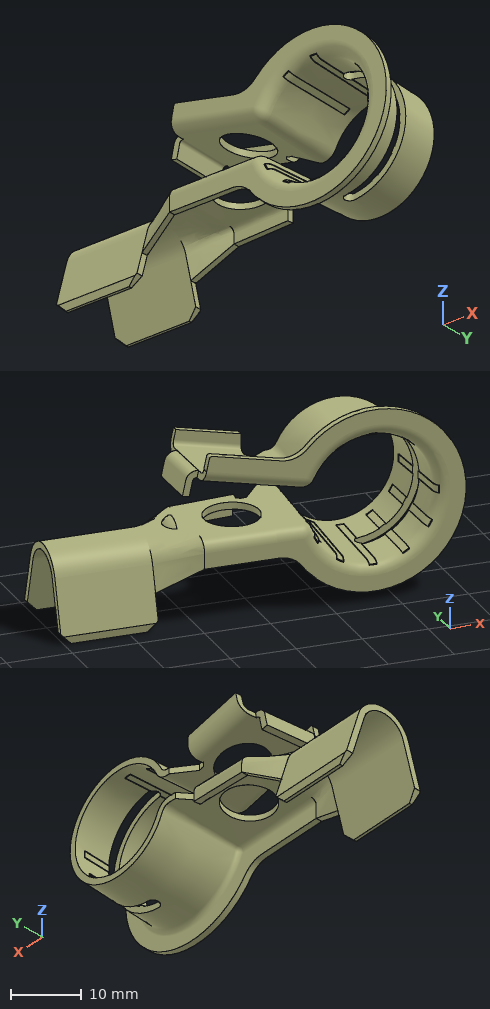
import cadquery as cq
import math

sheet = 1.1
depth = 15.4
height = 29.25
bend = 1.95
taper = 0.05

flange_radius = 13.85
flange_width = 2.4
back_flange_width = 1.6
neck_fillet = 4.3
bend_radius = flange_radius - flange_width

lower_end_x = -25.75
lower_bend_z = -4.3
upper_end = (-25.45, 8.2)
upper_angle = math.radians(12.2)
flange_tip_radius = 0.4

crimp_start_x = -47.2
crimp_end_x = -32.4
crimp_center_y = 7.95
crimp_top_z = -2.5
crimp_bottom_z = flange_radius - height
crimp_radius = 5.0
leg_angle = math.radians(16.5)
crown_angle = math.radians(57)
leg_corner = 1.6
leg_bevel_height = 1.3
leg_bevel_depth = 0.6
transition_leg_z = -10.1

hole_diameter = 8.35
hole_center_y = 7.5
upper_hole_x = -17.45
lower_shift = -1.3
slot_width = 2.0
slot_center_y = 7.65
notch_depth = 3.25
notch_corner = 0.5
notch_flange_x = -14.55
notch_start = -14.85
notch_floor_end = -13.45
notch_mouth_end = -10.7

lip_start_y = 3.0
lip_end_y = 12.2
lip_length = 4.0
lip_bend = 1.65
lip_overlap = 0.3

rib_angles = [-150, -120, -90, -60, -30, 0, 90, 120]
rib_width = 1.15
rib_height = 0.1
rib_start_y = 0.6
rib_end_y = 13.5

bump_face_x = -27.65
bump_radius = 2.55
bump_center_offset = 0.85
bump_center_z = -3.65


def polar(radius, angle, center=(0, 0)):
    return (center[0] + radius * math.cos(angle), center[1] + radius * math.sin(angle))


def section_plane(point, outward):
    """Plane through an XZ point: local x runs outward (XZ direction), local y runs along Y."""
    direction = cq.Vector(outward[0], 0, outward[1])
    return cq.Plane(cq.Vector(point[0], 0, point[1]), direction, direction.cross(cq.Vector(0, 1, 0)))


def front_bend(slope):
    """Angle facing the mouth and bend centre for a wall of the given slope."""
    return math.pi + math.atan(slope), (0, bend)


def wall_end(slope, y):
    """Mouth-side wall point at depth y."""
    facing, center = front_bend(slope)
    tangent = polar(bend, facing, center)
    return (tangent[0] - slope * (y - tangent[1]), y)


def bend_profile(slope):
    """Front bend and plain wall."""
    facing, center = front_bend(slope)
    middle = (facing + 1.5 * math.pi) / 2
    inner = bend - sheet
    back = wall_end(slope, depth)
    return lambda wp: (
        wp.moveTo(0, 0)
        .threePointArc(polar(bend, middle, center), polar(bend, facing, center))
        .lineTo(*back)
        .lineTo(back[0] + sheet * math.hypot(1, slope), depth)
        .lineTo(*polar(inner, facing, center))
        .threePointArc(polar(inner, middle, center), (0, sheet))
        .close())


def channel_profile(slope):
    """Front flange, front bend, wall, back bend and back flange."""
    facing, front = front_bend(slope)
    front_mid = (facing + 1.5 * math.pi) / 2
    back_mid = (facing + 0.5 * math.pi) / 2
    wall_point = wall_end(slope, depth - bend + bend * math.sin(facing))
    back_x = wall_point[0] - bend * math.cos(facing)
    back = (back_x, depth - bend)
    inner = bend - sheet
    return lambda wp: (
        wp.moveTo(flange_width, 0)
        .lineTo(0, 0)
        .threePointArc(polar(bend, front_mid, front), polar(bend, facing, front))
        .lineTo(*polar(bend, facing, back))
        .threePointArc(polar(bend, back_mid, back), (back_x, depth))
        .lineTo(back_x + back_flange_width, depth)
        .lineTo(back_x + back_flange_width, depth - sheet)
        .lineTo(back_x, depth - sheet)
        .threePointArc(polar(inner, back_mid, back), polar(inner, facing, back))
        .lineTo(*polar(inner, facing, front))
        .threePointArc(polar(inner, front_mid, front), (0, sheet))
        .lineTo(flange_width, sheet)
        .close())


def crimp_point(radius, angle, side):
    """Point on the crimp hoop at an angle from its crown (local x runs down)."""
    return (crimp_radius - crimp_top_z - radius * math.cos(angle),
            crimp_center_y + side * radius * math.sin(angle))


def leg_point(radius, z, side):
    """Point at height z on the straight leg tangent to a hoop of the given radius."""
    below_center = crimp_top_z - crimp_radius - z
    half_width = (radius + below_center * math.sin(leg_angle)) / math.cos(leg_angle)
    return (-z, crimp_center_y + side * half_width)


def crimp_profile(leg_end_z):
    """Hoop with splayed legs, edges in the same order as the channel."""
    tangent = math.pi / 2 - leg_angle
    shoulder = (crown_angle + tangent) / 2
    inner = crimp_radius - sheet
    return lambda wp: (
        wp.moveTo(*leg_point(crimp_radius, leg_end_z, -1))
        .lineTo(*crimp_point(crimp_radius, tangent, -1))
        .threePointArc(crimp_point(crimp_radius, shoulder, -1), crimp_point(crimp_radius, crown_angle, -1))
        .threePointArc(crimp_point(crimp_radius, 0, 1), crimp_point(crimp_radius, crown_angle, 1))
        .threePointArc(crimp_point(crimp_radius, shoulder, 1), crimp_point(crimp_radius, tangent, 1))
        .lineTo(*leg_point(crimp_radius, leg_end_z, 1))
        .lineTo(*leg_point(inner, leg_end_z, 1))
        .lineTo(*crimp_point(inner, tangent, 1))
        .threePointArc(crimp_point(inner, shoulder, 1), crimp_point(inner, crown_angle, 1))
        .threePointArc(crimp_point(inner, 0, 1), crimp_point(inner, crown_angle, -1))
        .threePointArc(crimp_point(inner, shoulder, -1), crimp_point(inner, tangent, -1))
        .lineTo(*leg_point(inner, leg_end_z, -1))
        .close())


def loft(start, end):
    """Ruled solid between two (point, outward, profile) stations."""
    wires = [profile(cq.Workplane(section_plane(point, outward))).val()
             for point, outward, profile in (start, end)]
    return cq.Workplane(cq.Solid.makeLoft(wires, True))


down = (0, -1)
upper_along = (math.cos(upper_angle), -math.sin(upper_angle))
upper_outward = (math.sin(upper_angle), math.cos(upper_angle))
lower_end = (lower_end_x, lower_bend_z)
lower_corner = (-math.sqrt(bend_radius**2 - lower_bend_z**2), lower_bend_z)
upper_line = upper_end[0] * upper_outward[0] + upper_end[1] * upper_outward[1]
upper_reach = math.sqrt(bend_radius**2 - upper_line**2)
upper_corner = (upper_line * upper_outward[0] - upper_reach * upper_along[0],
                upper_line * upper_outward[1] - upper_reach * upper_along[1])
ring_start = math.atan2(lower_corner[1], lower_corner[0])
ring_end = math.atan2(upper_corner[1], upper_corner[0])


def neck_points(outward, along, line):
    """Where the concave neck fillet meets an arm edge and the ring outline, with its middle."""
    reach = -math.sqrt((flange_radius + neck_fillet)**2 - (line + neck_fillet)**2)
    center = (outward[0] * (line + neck_fillet) + along[0] * reach,
              outward[1] * (line + neck_fillet) + along[1] * reach)
    on_line = (center[0] - outward[0] * neck_fillet, center[1] - outward[1] * neck_fillet)
    ratio = flange_radius / (flange_radius + neck_fillet)
    on_ring = (center[0] * ratio, center[1] * ratio)
    to_line = math.atan2(-outward[1], -outward[0])
    to_ring = math.atan2(-center[1], -center[0])
    half_turn = math.remainder(to_ring - to_line, 2 * math.pi) / 2
    return on_line, polar(neck_fillet, to_line + half_turn, center), on_ring


def round_upper_tip(body, width, y):
    """Round the free-end corner of an upper arm flange of the given width."""
    corner = (upper_end[0] + width * upper_outward[0], y, upper_end[1] + width * upper_outward[1])
    return body.edges("|Y").edges(cq.selectors.NearestToPointSelector(corner)).fillet(flange_tip_radius)


def flange_plate():
    """Flat front flange around the ring and along both arms."""
    lower = neck_points(down, (1, 0), flange_width - lower_bend_z)
    upper = neck_points(upper_outward, upper_along, upper_line + flange_width)
    tip = (upper_end[0] + upper_outward[0] * flange_width, upper_end[1] + upper_outward[1] * flange_width)
    plate = (
        cq.Workplane("XZ")
        .moveTo(lower_end_x, lower_bend_z - flange_width)
        .lineTo(*lower[0])
        .threePointArc(lower[1], lower[2])
        .threePointArc((flange_radius, 0), upper[2])
        .threePointArc(upper[1], upper[0])
        .lineTo(*tip)
        .lineTo(*upper_end)
        .lineTo(*upper_corner)
        .threePointArc((bend_radius, 0), lower_corner)
        .lineTo(*lower_end)
        .close()
        .extrude(-sheet))
    return round_upper_tip(plate, flange_width, 0)


def revolved_bend(point, outward, axis_x, slope, angle):
    """Front bend and wall swept about an axis parallel to Y."""
    wp = cq.Workplane(section_plane(point, outward))
    return bend_profile(slope)(wp).revolve(math.degrees(angle), (axis_x, 0.6), (axis_x, 0))


def ring():
    return revolved_bend(lower_corner, polar(1, ring_start), -bend_radius, taper, ring_end - ring_start)


def corners():
    """Rounded wall corners where the ring opens into the arms."""
    lower_turn = math.pi / 2 - (ring_start + math.pi)
    lower = revolved_bend(lower_corner, polar(1, ring_start), 0, taper, lower_turn)
    upper_turn = (ring_end - math.pi) + math.pi / 2 + upper_angle
    upper = revolved_bend(upper_corner, upper_outward, 0, taper, upper_turn)
    return lower.union(upper)


def arm(end, corner, outward, end_slope, flange_end_x):
    """Arm from its free end to the ring; its back flange stops at flange_end_x."""
    share = (flange_end_x - end[0]) / (corner[0] - end[0])
    split = (end[0] + share * (corner[0] - end[0]), end[1] + share * (corner[1] - end[1]))
    split_slope = end_slope + share * (taper - end_slope)
    channel = loft((end, outward, channel_profile(end_slope)), (split, outward, channel_profile(split_slope)))
    plain = loft((split, outward, bend_profile(split_slope)), (corner, outward, bend_profile(taper)))
    return channel.union(plain)


def upper_arm():
    """Upper arm with rounded flange corners and a free end square to its sloping wall."""
    body = arm(upper_end, upper_corner, upper_outward, taper, notch_floor_end)
    back_bend_x = wall_end(taper, depth - bend)[0] + bend
    for tip, y in ((flange_width, 0), (back_bend_x + back_flange_width, depth)):
        body = round_upper_tip(body, tip, y)
    plane = cq.Plane((upper_end[0], 0, upper_end[1]), (upper_along[0], 0, upper_along[1]),
                     (upper_outward[0], 0, upper_outward[1]))
    trim = (
        cq.Workplane(plane)
        .polyline([(0, 0), (-bend, depth), (taper * depth, depth)])
        .close()
        .extrude(flange_radius, both=True))
    return body.cut(trim)


def hook_lip():
    """Lip folded from the free end of the upper arm towards the lower arm."""
    def profile(y):
        face = wall_end(taper, y)[0]
        top = face + sheet
        tip = top - lip_length
        diagonal = math.sqrt(0.5)
        inner = lip_bend - sheet
        return lambda wp: (
            wp.moveTo(lip_overlap, top)
            .lineTo(0, top)
            .threePointArc((-lip_bend * diagonal, top - lip_bend * (1 - diagonal)),
                           (-lip_bend, top - lip_bend))
            .lineTo(-lip_bend, tip)
            .lineTo(-inner, tip)
            .lineTo(-inner, top - lip_bend)
            .threePointArc((-inner * diagonal, face - inner * (1 - diagonal)), (0, face))
            .lineTo(lip_overlap, face)
            .close())

    wires = []
    for y in (lip_start_y, lip_end_y):
        origin = (upper_end[0] + taper * y * upper_along[0], y, upper_end[1] + taper * y * upper_along[1])
        plane = cq.Plane(origin, (upper_along[0], 0, upper_along[1]), (0, -1, 0))
        wires.append(profile(y)(cq.Workplane(plane)).val())
    return cq.Workplane(cq.Solid.makeLoft(wires, True))


def crimp():
    """Open cable crimp with clipped and bevelled leg ends."""
    length = crimp_end_x - crimp_start_x
    wp = cq.Workplane(section_plane((crimp_start_x, 0), down))
    body = crimp_profile(crimp_bottom_z)(wp).extrude(length)
    for side in (-1, 1):
        tip = leg_point(crimp_radius, crimp_bottom_z, side)
        bevel = (
            cq.Workplane(section_plane((crimp_start_x, 0), down))
            .polyline([leg_point(crimp_radius, crimp_bottom_z + leg_bevel_height, side),
                       tip, (tip[0], tip[1] - side * leg_bevel_depth)])
            .close()
            .extrude(length))
        body = body.cut(bevel)
    clip = (
        cq.Workplane("XZ")
        .moveTo(crimp_start_x, crimp_top_z)
        .lineTo(crimp_end_x, crimp_top_z)
        .lineTo(crimp_end_x, crimp_bottom_z + leg_corner)
        .lineTo(crimp_end_x - leg_corner, crimp_bottom_z)
        .lineTo(crimp_start_x + leg_corner, crimp_bottom_z)
        .lineTo(crimp_start_x, crimp_bottom_z + leg_corner)
        .close()
        .extrude(-2 * depth))
    return body.intersect(clip.translate((0, -depth / 2, 0)))


def transition():
    """Sheet blending from the crimp hoop to the end of the lower arm."""
    return loft(((crimp_end_x, 0), down, crimp_profile(transition_leg_z)),
                (lower_end, down, channel_profile(0)))


def bump():
    """Half dome on the transition with a flat face towards the ring."""
    center = (bump_face_x + bump_center_offset, crimp_center_y, bump_center_z)
    dome = cq.Workplane().sphere(bump_radius).translate(center)
    base_z = crimp_top_z - sheet / 2
    keep = cq.Workplane().box(bump_radius, 2 * bump_radius, bump_radius, centered=(False, True, False))
    return dome.intersect(keep.translate((bump_face_x - bump_radius, crimp_center_y, base_z)))


def ribs():
    """Thin axial ribs that follow the ring wall and its front bend."""
    facing, center = front_bend(taper)
    radius = bend + rib_height
    start_angle = math.pi + math.asin((bend - rib_start_y) / radius)
    start = polar(radius, start_angle, center)
    tangent = polar(radius, facing, center)
    end = (wall_end(taper, rib_end_y)[0] - rib_height, rib_end_y)
    root = sheet / 2
    bars = cq.Workplane()
    for angle in rib_angles:
        outward = polar(1, math.radians(angle))
        plane = section_plane(polar(bend_radius, math.radians(angle)), outward)
        bars = bars.union(
            cq.Workplane(plane)
            .moveTo(*start)
            .threePointArc(polar(radius, (start_angle + facing) / 2, center), tangent)
            .lineTo(*end)
            .lineTo(end[0] + root, end[1])
            .lineTo(tangent[0] + root, tangent[1])
            .lineTo(start[0] + root, start[1])
            .close()
            .extrude(rib_width / 2, both=True))
    return bars


def arm_holes():
    lower = (
        cq.Workplane("XY").center(upper_hole_x + lower_shift, hole_center_y)
        .circle(hole_diameter / 2).extrude(-depth))
    upper_z = (upper_line - bend - upper_hole_x * upper_outward[0]) / upper_outward[1]
    plane = cq.Plane((upper_hole_x, hole_center_y, upper_z), (upper_along[0], 0, upper_along[1]),
                     (upper_outward[0], 0, upper_outward[1]))
    upper = cq.Workplane(plane).circle(hole_diameter / 2).extrude(bend, both=True)
    return lower.union(upper)


def ring_slot():
    """Slot around the half of the ring that faces away from the arms."""
    end_radius = slot_width / 2
    length = flange_radius + end_radius
    return (
        cq.Workplane("XY")
        .center(length / 2, slot_center_y)
        .slot2D(length, slot_width)
        .extrude(flange_radius, both=True))


def notches():
    """Reliefs between the back flanges and the ring, one through each arm."""
    floor_y = depth - notch_depth
    cuts = cq.Workplane()
    for shift, direction in ((0, 1), (lower_shift, -1)):
        cuts = cuts.union(
            cq.Workplane("XY", origin=(shift, 0, 0))
            .moveTo(notch_flange_x, depth)
            .lineTo(notch_start, floor_y + notch_corner)
            .lineTo(notch_start + notch_corner, floor_y)
            .lineTo(notch_floor_end, floor_y)
            .lineTo(notch_mouth_end, depth)
            .close()
            .extrude(direction * flange_radius))
    return cuts


clamp = flange_plate()
for piece in (
    ring(),
    corners(),
    arm(lower_end, lower_corner, down, 0, notch_floor_end + lower_shift),
    upper_arm(),
    hook_lip(),
    transition(),
    crimp(),
    bump(),
    ribs(),
):
    clamp = clamp.union(piece)
result = clamp.cut(arm_holes()).cut(ring_slot()).cut(notches())